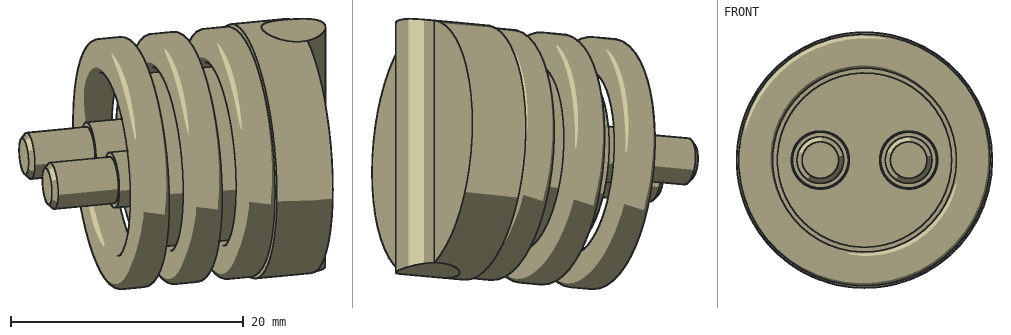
import cadquery as cq


HEAD_RADIUS = 11.0
HEAD_LENGTH = 5.0
SHAFT_RADIUS = 7.5
SHAFT_LENGTH = 9.3

KEY_RADIUS = 2.75
KEY_Y = 4.48

RING_COUNT = 3
RING_OUTER_RADIUS = 10.82
RING_BORE_RADIUS = 7.9
RING_WIDTH = 2.9
RING_PITCH = 4.7
RING_FILLET = 0.5

CONTACT_SPACING = 7.6
CONTACT_XS = (-CONTACT_SPACING / 2, CONTACT_SPACING / 2)
SLEEVE_RADIUS = 2.4
SLEEVE_CLEARANCE = 0.1
SLEEVE_LENGTH = 12.72
PIN_RADIUS = 2.0
PIN_CHAMFER = 0.45
KEY_BACK_Y = KEY_Y + KEY_RADIUS
OVERALL_LENGTH = 25.75
PIN_LENGTH = OVERALL_LENGTH - KEY_BACK_Y


def forward_cylinder(radius, length, x=0, back_y=0):
    """Cylinder along Y that runs from back_y toward -Y."""
    plane = cq.Workplane("XZ", origin=(x, back_y, 0))
    return plane.circle(radius).extrude(length)


def upright_bar():
    """Round bar along Z, as tall as the head."""
    plane = cq.Workplane("XY", origin=(0, KEY_Y, 0))
    return plane.circle(KEY_RADIUS).extrude(HEAD_RADIUS, both=True)


def make_key():
    """Key bar with both ends shaped to the head's round outline."""
    outline = forward_cylinder(HEAD_RADIUS, 2 * KEY_RADIUS, back_y=KEY_BACK_Y)
    return upright_bar().intersect(outline)


def make_housing():
    """Head and shaft, with the key's seat and one blind hole for each sleeve."""
    head = forward_cylinder(HEAD_RADIUS, HEAD_LENGTH, back_y=HEAD_LENGTH)
    shaft = forward_cylinder(SHAFT_RADIUS, SHAFT_LENGTH)
    housing = head.union(shaft).cut(upright_bar())
    for x in CONTACT_XS:
        hole = forward_cylinder(SLEEVE_RADIUS + SLEEVE_CLEARANCE, SHAFT_LENGTH, x)
        housing = housing.cut(hole)
    return housing


def make_ring(back_y):
    """Ring with all four circular edges rounded."""
    ring = forward_cylinder(RING_OUTER_RADIUS, RING_WIDTH, back_y=back_y)
    ring = ring.cut(forward_cylinder(RING_BORE_RADIUS, RING_WIDTH, back_y=back_y))
    return ring.faces("<Y or >Y").edges().fillet(RING_FILLET)


def make_sleeve(x):
    """Tube that fits around one pin and stands on the bottom of its hole."""
    bore = forward_cylinder(PIN_RADIUS, SLEEVE_LENGTH, x)
    return forward_cylinder(SLEEVE_RADIUS, SLEEVE_LENGTH, x).cut(bore)


def make_pin(x):
    """Pin with a chamfered tip."""
    return forward_cylinder(PIN_RADIUS, PIN_LENGTH, x).faces("<Y").chamfer(PIN_CHAMFER)


housing = make_housing()
key = make_key()
rings = [make_ring(-i * RING_PITCH) for i in range(RING_COUNT)]
sleeves = [make_sleeve(x) for x in CONTACT_XS]
pins = [make_pin(x) for x in CONTACT_XS]

bodies = [housing, key, *rings, *sleeves, *pins]
result = cq.Compound.makeCompound([body.solids().val() for body in bodies])